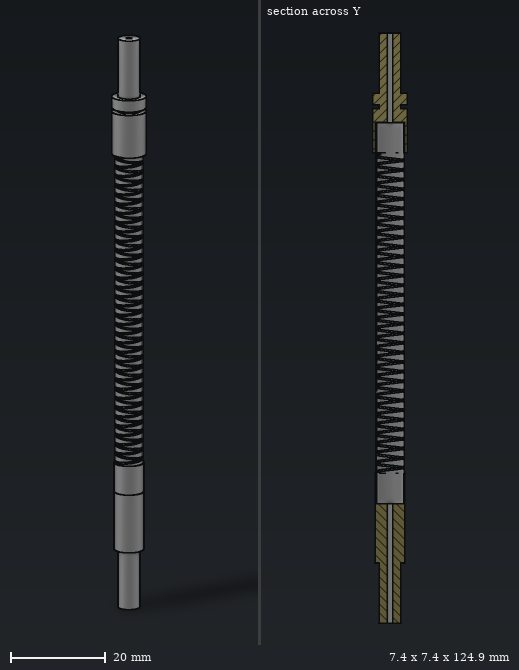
import cadquery as cq

total_length = 124.9
bore_diameter = 1.1
shaft_diameter = 4.7
shaft_length = 12.7
collar_diameter = 7.4
collar_end_depth = 25.4
groove_top_depth = 15.2
groove_width = 0.7
sleeve_diameter = 6.4
sleeve_end_height = 31.7
socket_depth = 6.4
outer_tube_diameter = 6.1
tube_wall = 0.1
slit_width = 0.4
slit_turns = 33.2
slit_start_angle = 205.0
cutter_overlap = 0.05

lower_tip = -total_length / 2
upper_tip = total_length / 2
lower_shoulder = lower_tip + shaft_length
sleeve_top = lower_tip + sleeve_end_height
lower_socket_floor = sleeve_top - socket_depth
upper_shoulder = upper_tip - shaft_length
collar_bottom = upper_tip - collar_end_depth
upper_socket_floor = collar_bottom + socket_depth
groove_top = upper_tip - groove_top_depth
slit_rise = collar_bottom - sleeve_top - slit_width
slit_pitch = slit_rise / slit_turns
inner_tube_diameter = outer_tube_diameter - 2 * tube_wall


def cylinder(diameter, bottom, top):
    """A round bar on the Z axis between two heights."""
    return cq.Workplane("XY").workplane(offset=bottom).circle(diameter / 2).extrude(top - bottom)


def make_upper_fitting():
    """Bored shaft with a grooved collar whose open end holds the tubes."""
    shaft = cylinder(shaft_diameter, collar_bottom, upper_tip)
    ring = cylinder(collar_diameter, groove_top, upper_shoulder)
    collar = cylinder(collar_diameter, collar_bottom, groove_top - groove_width)
    socket = cylinder(outer_tube_diameter, collar_bottom, upper_socket_floor)
    bore = cylinder(bore_diameter, collar_bottom, upper_tip)
    return shaft.union(ring).union(collar).cut(socket).cut(bore)


def make_lower_fitting():
    """Bored shaft with a plain sleeve whose open end holds the tubes."""
    shaft = cylinder(shaft_diameter, lower_tip, lower_shoulder)
    sleeve = cylinder(sleeve_diameter, lower_shoulder, sleeve_top)
    socket = cylinder(outer_tube_diameter, lower_socket_floor, sleeve_top)
    bore = cylinder(bore_diameter, lower_tip, sleeve_top)
    return shaft.union(sleeve).cut(socket).cut(bore)


def make_slit_tube(outer_diameter, left_handed):
    """Thin tube between the socket floors, slit along a helix over the stretch between the fittings."""
    inner_diameter = outer_diameter - 2 * tube_wall
    tube = cylinder(outer_diameter, lower_socket_floor, upper_socket_floor)
    tube = tube.cut(cylinder(inner_diameter, lower_socket_floor, upper_socket_floor))
    middle_radius = (outer_diameter - tube_wall) / 2
    helix = cq.Wire.makeHelix(slit_pitch, slit_rise, middle_radius, lefthand=left_handed)
    section = cq.Workplane("XZ").center(middle_radius, 0).rect(tube_wall + 2 * cutter_overlap, slit_width)
    cutter = section.sweep(cq.Workplane(helix), isFrenet=True)
    cutter = cutter.rotate((0, 0, 0), (0, 0, 1), slit_start_angle)
    cutter = cutter.translate((0, 0, sleeve_top + slit_width / 2))
    return tube.cut(cutter)


upper_fitting = make_upper_fitting()
lower_fitting = make_lower_fitting()

outer_tube = make_slit_tube(outer_tube_diameter, left_handed=False)
inner_tube = make_slit_tube(inner_tube_diameter, left_handed=True)

result = cq.Compound.makeCompound(
    [upper_fitting.val(), lower_fitting.val(), outer_tube.val(), inner_tube.val()]
)